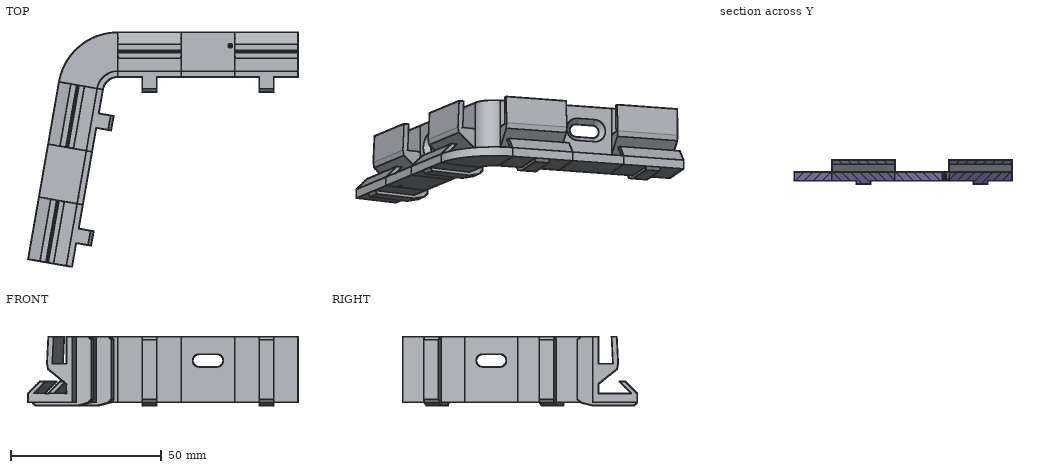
import cadquery as cq
import math


inner_radius = 5.0
section_width = 14.9
outer_radius = inner_radius + section_width
section_height = 22.0
floor_thickness = 3.0
wall_thickness = 2.0
wall_depth = section_width - wall_thickness

arm_lean = 9.87
bend_angle = 90 - arm_lean
clip_length = 21.1
middle_length = 17.9
far_clip_start = clip_length + middle_length

lip_rise = 4.05
lip_width = 2.0

hook_root_height = 6.1
hook_chin_depth = 6.75
hook_chin_height = 11.1
tongue_depth = 6.4
tongue_thickness = 1.8
tongue_lean = 0.45
pocket_floor = 13.0

rib_width = 4.95
rib_reach = 5.0
rib_end = section_width + rib_reach
rib_chamfer = 1.1
foot_depth = 1.1
rib_heel_height = 1.0

slot_length = 13.5
slot_height = 7.6
slot_centre_height = 13.95
slot_flare = 1.7

hole_radius = 0.6
plug_radius = 0.3
plug_along = clip_length + 16.4
plug_depth = 4.5


def extrude_section(points, start, length):
    """Extrude a (depth, height) outline along +X from the given start."""
    outline = [(outer_radius - depth, height) for depth, height in points]
    return cq.Workplane("YZ", origin=(start, 0, 0)).polyline(outline).close().extrude(length)


def l_section():
    return [
        (0, 0),
        (0, floor_thickness),
        (wall_depth, floor_thickness),
        (wall_depth, section_height),
        (section_width, section_height),
        (section_width, 0),
    ]


def clip_section():
    lip_top = floor_thickness + lip_rise
    tongue_top_depth = tongue_depth + tongue_lean
    return [
        (0, 0),
        (0, floor_thickness),
        (lip_rise, lip_top),
        (lip_rise + lip_width, lip_top),
        (lip_width, floor_thickness),
        (wall_depth, floor_thickness),
        (wall_depth, hook_root_height),
        (hook_chin_depth, hook_chin_height),
        (tongue_depth, pocket_floor),
        (tongue_top_depth, section_height),
        (tongue_top_depth + tongue_thickness, section_height),
        (tongue_depth + tongue_thickness, pocket_floor),
        (wall_depth, pocket_floor),
        (wall_depth, section_height),
        (section_width, section_height),
        (section_width, 0),
    ]


def rib_section():
    return [
        (0, 0),
        (foot_depth, -foot_depth),
        (section_width, -foot_depth),
        (rib_end - rib_chamfer, rib_heel_height - rib_chamfer),
        (rib_end, rib_heel_height),
        (rib_end, section_height - rib_chamfer),
        (rib_end - rib_chamfer, section_height),
        (section_width, section_height),
        (section_width, 0),
    ]


def make_clip(start):
    """Clip piece with lip and hook, and a rib halfway along it."""
    rib_start = start + (clip_length - rib_width) / 2
    clip = extrude_section(clip_section(), start, clip_length)
    return clip.union(extrude_section(rib_section(), rib_start, rib_width))


def make_middle(start):
    """Plain L piece with a flared slot through its wall."""
    middle = extrude_section(l_section(), start, middle_length)
    slot_taper = math.degrees(math.atan2(slot_flare, wall_thickness))
    slot = (
        cq.Workplane(
            "XZ",
            origin=(start + middle_length / 2, outer_radius - wall_depth, slot_centre_height),
        )
        .slot2D(slot_length, slot_height)
        .extrude(wall_thickness, taper=slot_taper)
    )
    return middle.cut(slot)


def make_corner():
    """L section swept around the bend centre, between the two arms."""
    outline = [(outer_radius - depth, height) for depth, height in l_section()]
    return (
        cq.Workplane("YZ")
        .polyline(outline)
        .close()
        .revolve(bend_angle, (0, 0, 0), (0, 1, 0))
    )


def floor_cylinder(radius):
    """Upright cylinder through the floor at the plug position."""
    return (
        cq.Workplane("XY")
        .center(plug_along, outer_radius - plug_depth)
        .circle(radius)
        .extrude(floor_thickness)
    )


def to_second_arm(body):
    """Mirror a body of the first arm and turn it into the second arm."""
    return body.mirror("YZ").rotate((0, 0, 0), (0, 0, 1), bend_angle)


corner = make_corner()
clips = [make_clip(start) for start in (0, far_clip_start)]
plain_middle = make_middle(clip_length)
holed_middle = plain_middle.cut(floor_cylinder(hole_radius))
plug = floor_cylinder(plug_radius)

second_arm = [to_second_arm(body) for body in (*clips, plain_middle)]

bodies = [corner, *clips, holed_middle, plug, *second_arm]
result = cq.Compound.makeCompound([body.val() for body in bodies])